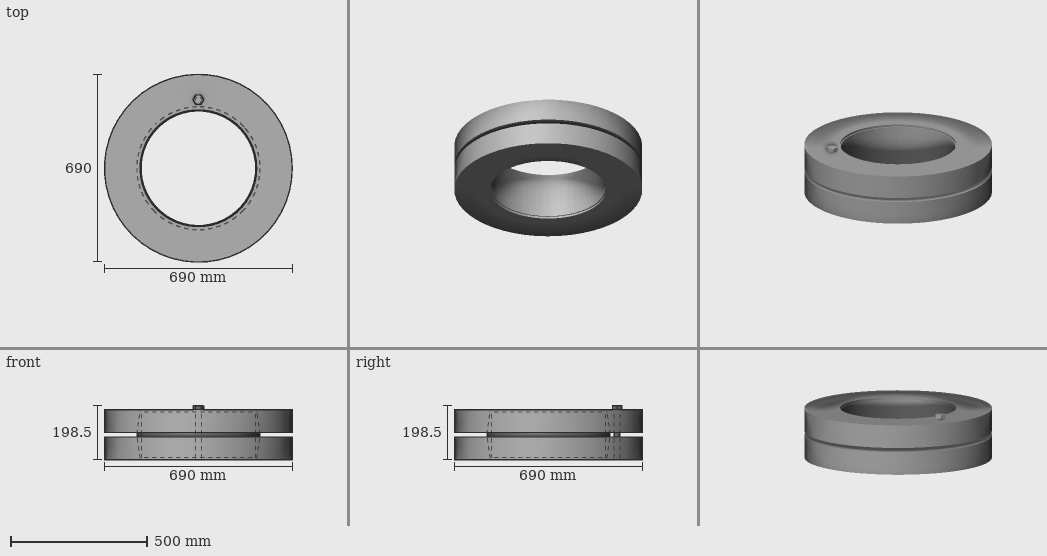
import cadquery as cq
import math

flange_diameter = 690.0
flange_thickness = 84.0
flange_gap = 16.0
flange_mouth_diameter = 427.0
outer_face_z = flange_gap / 2 + flange_thickness

ring_bore_diameter = 420.0
ring_crest_diameter = 453.0
ring_end_recess = 8.0
ring_end_z = outer_face_z - ring_end_recess

bolt_y = 252.0
bolt_shank_diameter = 22.0
head_across_flats = 35.0
head_height = 13.0
washer_face_diameter = 33.0
washer_face_height = 1.5
head_bottom_z = outer_face_z + washer_face_height
head_across_corners = head_across_flats / math.cos(math.pi / 6)
head_chamfer_height = 1.0


def make_ring_envelope():
    """Solid double cone that narrows from Z = 0 to both outer flange faces."""
    mouth_radius = flange_mouth_diameter / 2
    return (
        cq.Workplane("XZ")
        .moveTo(0, -outer_face_z)
        .lineTo(mouth_radius, -outer_face_z)
        .lineTo(ring_crest_diameter / 2, 0)
        .lineTo(mouth_radius, outer_face_z)
        .lineTo(0, outer_face_z)
        .close()
        .revolve(360, (0, 0, 0), (0, 1, 0))
    )


def make_cylinder(diameter, bottom_z, top_z, center_y=0):
    return (
        cq.Workplane("XY", origin=(0, center_y, bottom_z))
        .circle(diameter / 2)
        .extrude(top_z - bottom_z)
    )


def make_bolt_shank():
    return make_cylinder(bolt_shank_diameter, -outer_face_z, outer_face_z, bolt_y)


def make_flange(bottom_z):
    disc = make_cylinder(flange_diameter, bottom_z, bottom_z + flange_thickness)
    return disc.cut(make_ring_envelope()).cut(make_bolt_shank())


def make_inner_ring():
    blank = make_ring_envelope().intersect(
        make_cylinder(flange_diameter, -ring_end_z, ring_end_z)
    )
    return blank.cut(make_cylinder(ring_bore_diameter, -ring_end_z, ring_end_z))


def make_bolt_head():
    hexagon = (
        cq.Workplane("XY", origin=(0, bolt_y, head_bottom_z))
        .polygon(6, head_across_corners)
        .extrude(head_height)
    )
    corner_chamfer = (head_across_corners - head_across_flats) / 2
    blank = (
        make_cylinder(head_across_corners, head_bottom_z, head_bottom_z + head_height, bolt_y)
        .faces(">Z")
        .chamfer(head_chamfer_height, corner_chamfer)
    )
    return hexagon.intersect(blank)


def make_bolt():
    washer_face = make_cylinder(washer_face_diameter, outer_face_z, head_bottom_z, bolt_y)
    return make_bolt_shank().union(washer_face).union(make_bolt_head())


flange_bottoms = (-outer_face_z, flange_gap / 2)
flanges = [make_flange(bottom_z).val() for bottom_z in flange_bottoms]
inner_ring = make_inner_ring()
bolt = make_bolt()

result = cq.Compound.makeCompound([*flanges, inner_ring.val(), bolt.val()])